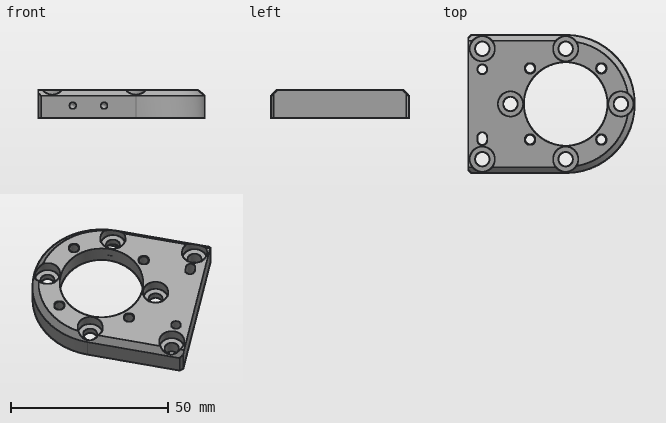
import cadquery as cq
import math

length = 53.0
width = 44.0
thickness = 9.0
end_radius = width / 2
bore_x = length - end_radius
corner_chamfer = 1.0
top_chamfer = 1.95

bore_diameter = 26.5
recess_diameter = 41.4
recess_depth = 2.5
screw_circle_radius = 17.55
screw_diameter = 4.5
counterbore_diameter = 8.0
counterbore_depth = 4.0
left_hole_x = 4.5

small_circle_radius = 16.0
small_diameter = 3.0
small_mouth_diameter = 3.4

dowel_diameter = 3.0
dowel_y = 11.0
slot_length = 4.05

side_hole_diameter = 2.1
side_hole_depth = 4.25
side_hole_z = 4.0
side_hole_xs = (11.0, 21.0)
drill_tip_angle = 118.0


def make_plate():
    half_width = width / 2
    plate = (
        cq.Workplane("XY")
        .moveTo(0, -half_width)
        .lineTo(bore_x, -half_width)
        .threePointArc((length, 0), (bore_x, half_width))
        .lineTo(0, half_width)
        .close()
        .extrude(thickness)
    )
    plate = plate.edges("|Z and <X").chamfer(corner_chamfer)
    section = (
        cq.Workplane("XZ", origin=(bore_x, 0, 0))
        .lineTo(end_radius, 0)
        .lineTo(end_radius, thickness - top_chamfer)
        .lineTo(end_radius - top_chamfer, thickness)
        .lineTo(0, thickness)
        .close()
    )
    round_end = section.revolve(360, (0, 0, 0), (0, 1, 0))
    straight = (
        cq.Workplane("YZ")
        .moveTo(-half_width, 0)
        .lineTo(half_width, 0)
        .lineTo(half_width, thickness - top_chamfer)
        .lineTo(half_width - top_chamfer, thickness)
        .lineTo(top_chamfer - half_width, thickness)
        .lineTo(-half_width, thickness - top_chamfer)
        .close()
        .extrude(bore_x)
    )
    return plate.intersect(straight.union(round_end))


def circle_point(radius, degrees):
    angle = math.radians(degrees)
    return (bore_x + radius * math.cos(angle), radius * math.sin(angle))


def vertical_holes(points, diameter, bottom=0.0, top=thickness):
    return (
        cq.Workplane("XY", origin=(0, 0, bottom))
        .pushPoints(points)
        .circle(diameter / 2)
        .extrude(top - bottom)
    )


def side_hole(x):
    radius = side_hole_diameter / 2
    tip_depth = radius / math.tan(math.radians(drill_tip_angle / 2))
    return (
        cq.Workplane("XY", origin=(x, -width / 2, side_hole_z))
        .lineTo(radius, 0)
        .lineTo(radius, side_hole_depth)
        .lineTo(0, side_hole_depth + tip_depth)
        .close()
        .revolve(360, (0, 0, 0), (0, 1, 0))
    )


result = make_plate()

result = result.cut(vertical_holes([(bore_x, 0)], bore_diameter))
result = result.cut(vertical_holes([(bore_x, 0)], recess_diameter, top=recess_depth))

screw_points = [circle_point(screw_circle_radius, 90 * i) for i in range(4)]
screw_points += [(left_hole_x, side * screw_circle_radius) for side in (-1, 1)]
counterbore_floor = thickness - counterbore_depth
result = result.cut(vertical_holes(screw_points, screw_diameter))
result = result.cut(vertical_holes(screw_points, counterbore_diameter, counterbore_floor))

small_points = [circle_point(small_circle_radius, 45 + 90 * i) for i in range(4)]
mouth_depth = (small_mouth_diameter - small_diameter) / 2
result = result.cut(vertical_holes(small_points, small_diameter))
for x, y in small_points:
    mouth = cq.Solid.makeCone(
        small_diameter / 2,
        small_mouth_diameter / 2,
        mouth_depth,
        pnt=cq.Vector(x, y, thickness - mouth_depth),
    )
    result = result.cut(cq.Workplane(mouth))

result = result.cut(vertical_holes([(left_hole_x, dowel_y)], dowel_diameter))
slot = (
    cq.Workplane("XY")
    .center(left_hole_x, -dowel_y)
    .slot2D(slot_length, dowel_diameter, 90)
    .extrude(thickness)
)
result = result.cut(slot)

for hole_x in side_hole_xs:
    result = result.cut(side_hole(hole_x))